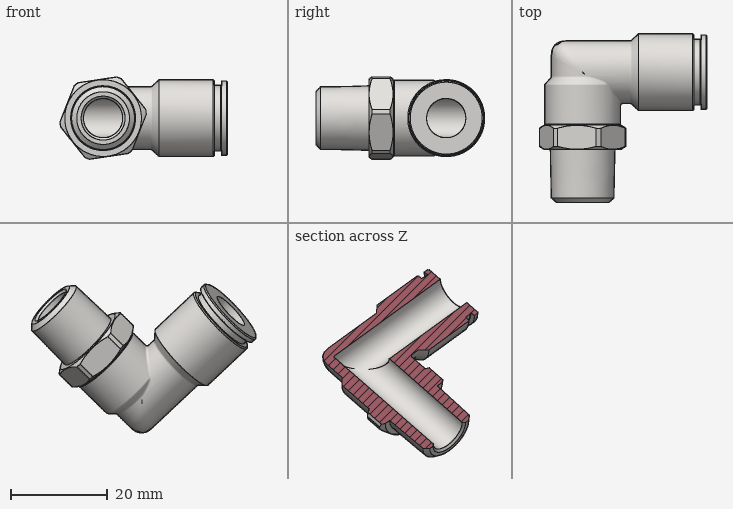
import cadquery as cq
import math


elbow_radius = 6.5
bore_radius = 4.05
cone_fillet = 0.45
junction_fillet = 0.45
corner_tangency = 0.53

socket_radius = 7.98
cone_start = 10.0
cone_end = 11.6
socket_end = 23.05
socket_chamfer = 0.28
neck_radius = 6.82
neck_end = 24.32
groove_radius = 6.7
ring_radius = 7.75
ring_start = 24.57
ring_end = 25.8
ring_chamfer = 0.28

body_radius = 7.88
shoulder_start = 1.1
shoulder_end = 2.55
body_chamfer = 0.2
hex_start = 10.95
hex_end = 16.03
thread_end = 27.02

hex_flats = 16.05
hex_corner_radius = 9.0
hex_end_radius = 7.95
hex_angle = 8.5
hex_chamfer = 0.65

thread_root_radius = 6.72
thread_tip_radius = 6.5
thread_chamfer_length = 0.98
thread_face_radius = 5.45
bore_chamfer = 0.5


def turned_about_x(points):
    """Revolve (x, radius) points about the X axis."""
    return cq.Workplane("XY").polyline(points).close().revolve(360, (0, 0, 0), (1, 0, 0))


def turned_about_y(points):
    """Revolve (distance along -Y, radius) points about the Y axis."""
    outline = [(radius, -distance) for distance, radius in points]
    return cq.Workplane("XY").polyline(outline).close().revolve(360, (0, 0, 0), (0, 1, 0))


def fillet_rings(blank, centres):
    """Fillet the circular edges centred at the given points."""
    margin = cq.Vector(cone_fillet, cone_fillet, cone_fillet) * 0.5
    for centre in centres:
        middle = cq.Vector(centre)
        box = cq.selectors.BoxSelector((middle - margin).toTuple(), (middle + margin).toTuple())
        blank = blank.edges("%CIRCLE").edges(box).fillet(cone_fillet)
    return blank


def pipe_pair(radius):
    """Short pipe ends toward -X and +Y that cross at the outer elbow corner."""
    pipe_x = cq.Workplane("YZ").circle(radius).extrude(-radius)
    pipe_y = cq.Workplane("XZ").circle(radius).extrude(-radius)
    return pipe_x, pipe_y


def sector(first, second):
    """Tall wedge between the rays from the elbow centre through two points."""
    return (
        cq.Workplane("XY")
        .polyline([(0, 0), first, second])
        .close()
        .extrude(2 * elbow_radius, both=True)
    )


def rounded_corner():
    """Outer elbow corner: an ellipsoid wedge tangent to both pipes, between two pipe ends."""
    radius = elbow_radius
    tangency = corner_tangency * radius
    pipe_x, pipe_y = pipe_pair(radius)
    side_x = pipe_x.intersect(sector((0, radius), (-tangency, radius)))
    side_y = pipe_y.intersect(sector((-radius, 0), (-radius, tangency)))

    stretch_along = math.sqrt(1 + corner_tangency)
    stretch_across = math.sqrt(1 - corner_tangency)
    stretch = cq.Matrix([[stretch_along, 0, 0, 0], [0, stretch_across, 0, 0], [0, 0, 1, 0]])
    half_angle = math.degrees(math.atan2(stretch_across, stretch_along))
    wedge = (
        cq.Workplane("XZ")
        .moveTo(0, -radius)
        .threePointArc((radius, 0), (0, radius))
        .close()
        .revolve(2 * half_angle, (0, 0, 0), (0, 1, 0))
        .rotate((0, 0, 0), (0, 0, 1), -half_angle)
    )
    ellipsoid = cq.Workplane(obj=wedge.val().transformGeometry(stretch))
    middle = ellipsoid.rotate((0, 0, 0), (0, 0, 1), 135)
    return side_x.union(middle).union(side_y)


def tube_socket():
    """Horizontal pipe, coned socket, neck, groove and release ring."""
    blank = turned_about_x([
        (0, 0),
        (0, elbow_radius),
        (cone_start, elbow_radius),
        (cone_end, socket_radius),
        (socket_end - socket_chamfer, socket_radius),
        (socket_end, socket_radius - socket_chamfer),
        (socket_end, neck_radius),
        (neck_end, neck_radius),
        (neck_end, groove_radius),
        (ring_start, groove_radius),
        (ring_start, ring_radius),
        (ring_end - ring_chamfer, ring_radius),
        (ring_end, ring_radius - ring_chamfer),
        (ring_end, 0),
    ])
    return fillet_rings(blank, [(cone_start, 0, 0)])


def stem():
    """Vertical pipe, shouldered body and tapered thread blank."""
    blank = turned_about_y([
        (0, 0),
        (0, elbow_radius),
        (shoulder_start, elbow_radius),
        (shoulder_end, body_radius),
        (hex_start - body_chamfer, body_radius),
        (hex_start, body_radius - body_chamfer),
        (hex_start, thread_root_radius),
        (hex_end, thread_root_radius),
        (thread_end - thread_chamfer_length, thread_tip_radius),
        (thread_end, thread_face_radius),
        (thread_end, 0),
    ])
    return fillet_rings(blank, [(0, -shoulder_start, 0), (0, -shoulder_end, 0)])


def hexagon():
    """Wrench hexagon with trimmed corners and chamfered ends."""
    across_corners = hex_flats / math.cos(math.pi / 6)
    prism = (
        cq.Workplane("XZ", origin=(0, -hex_start, 0))
        .polygon(6, across_corners)
        .extrude(hex_end - hex_start)
        .rotate((0, 0, 0), (0, 1, 0), -hex_angle)
    )
    envelope = turned_about_y([
        (hex_start, 0),
        (hex_start, hex_end_radius),
        (hex_start + hex_chamfer, hex_corner_radius),
        (hex_end - hex_chamfer, hex_corner_radius),
        (hex_end, hex_end_radius),
        (hex_end, 0),
    ])
    return prism.intersect(envelope)


def bore():
    """Through passage that turns the elbow, chamfered at the thread end."""
    passage_x = cq.Workplane("YZ").circle(bore_radius).extrude(ring_end)
    passage_y = turned_about_y([
        (0, 0),
        (0, bore_radius),
        (thread_end - bore_chamfer, bore_radius),
        (thread_end, bore_radius + bore_chamfer),
        (thread_end, 0),
    ])
    end_x, end_y = pipe_pair(bore_radius)
    return passage_x.union(passage_y).union(end_x.intersect(end_y))


def filleted_branches():
    """Socket and stem joined, with a fillet where the stem body runs into the pipe."""
    branches = tube_socket().union(stem())
    inner_corner = cq.selectors.BoxSelector(
        (elbow_radius - junction_fillet, -elbow_radius, -elbow_radius),
        (body_radius, -shoulder_end, elbow_radius),
    )
    return branches.edges(inner_corner).fillet(junction_fillet)


outer_body = filleted_branches().union(hexagon()).union(rounded_corner())
result = outer_body.cut(bore())